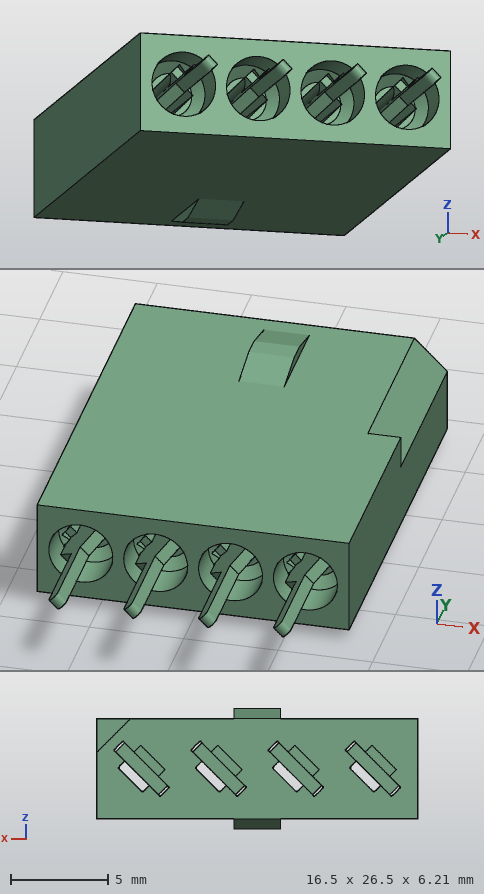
import cadquery as cq
import math


overall_length = 26.45

housing_width = 16.53
housing_length = 21.2
housing_height = 5.15
key_size = 1.75
key_length = 10.05

latch_width = 2.4
latch_height = 0.53
latch_back_gap = 1.03
latch_ramp = 2.15
latch_flat = 1.15
latch_length = 2 * latch_ramp + latch_flat

contact_count = 4
contact_pitch = 3.97
contact_angle = 45

contact_thickness = 0.65
tail_length = overall_length - housing_length
blade_half_width = 1.55
shoulder_start = -0.13

mouth_radius = 1.7
floor_radius = 1.15
mouth_straight_depth = 2.12
mouth_depth = mouth_straight_depth + mouth_radius - floor_radius
slot_width = 2 * mouth_radius
passage_width = 1.77
passage_height = 1.65
keyway_width = 2.7

lance_rise = (passage_height - contact_thickness) / 2
lance_end_angle = 30
lance_radius = lance_rise / (1 - math.cos(math.radians(lance_end_angle)))
lance_start = mouth_depth + 0.26
lance_base_length = 0.8

contact_positions = [(i - (contact_count - 1) / 2) * contact_pitch for i in range(contact_count)]


def place_contact(shape, x):
    """Turn a shape about the Y axis and move it to one contact position."""
    return shape.rotate((0, 0, 0), (0, 1, 0), -contact_angle).translate((x, 0, 0))


def box_along_y(width, height, start, end):
    """Box centred on X and Z that runs from start to end along Y."""
    return cq.Workplane("XY").box(width, end - start, height).translate((0, (start + end) / 2, 0))


def latch_bump():
    """Bump with two ramps and a flat crest, standing on the top face."""
    back = housing_length - latch_back_gap
    front = back - latch_length
    base = housing_height / 2
    crest = base + latch_height
    outline = [
        (front, base),
        (front + latch_ramp, crest),
        (back - latch_ramp, crest),
        (back, base),
    ]
    return cq.Workplane("YZ").polyline(outline).close().extrude(latch_width / 2, both=True)


def key_chamfer():
    """Wedge removed from the top right edge at the back of the housing."""
    side = housing_width / 2
    top = housing_height / 2
    return (
        cq.Workplane("XZ", origin=(0, housing_length, 0))
        .polyline([(side - key_size, top), (side, top), (side, top - key_size)])
        .close()
        .extrude(key_length)
    )


def contact_cavity():
    """Everything removed from the housing for one contact."""
    outline = [
        (0, 0),
        (mouth_radius, 0),
        (mouth_radius, mouth_straight_depth),
        (floor_radius, mouth_depth),
        (0, mouth_depth),
    ]
    mouth = cq.Workplane("XY").polyline(outline).close().revolve(360, (0, 0, 0), (0, 1, 0))
    slot = box_along_y(slot_width, contact_thickness, mouth_straight_depth, housing_length)
    passage = box_along_y(passage_width, passage_height, mouth_depth, housing_length)
    keyway_height = passage_height / 2
    keyway = box_along_y(keyway_width, keyway_height, mouth_straight_depth, mouth_depth)
    keyway = keyway.translate((0, 0, keyway_height / 2))
    return mouth.union(slot).union(passage).union(keyway)


def make_housing():
    """Block with two latch bumps, a key chamfer and a cavity for each contact."""
    housing = box_along_y(housing_width, housing_height, 0, housing_length)
    bump = latch_bump()
    housing = housing.union(bump).union(bump.mirror("XY"))
    housing = housing.cut(key_chamfer())
    for x in contact_positions:
        housing = housing.cut(place_contact(contact_cavity(), x))
    return housing


def make_lance():
    """Wedge whose front face curves from the passage wall down to the blade."""
    base = contact_thickness / 2
    top = base + lance_rise
    root = lance_start + lance_radius * math.sin(math.radians(lance_end_angle))
    half_angle = math.radians(lance_end_angle / 2)
    middle = (
        root - lance_radius * math.sin(half_angle),
        base + lance_radius * (1 - math.cos(half_angle)),
    )
    return (
        cq.Workplane("YZ")
        .moveTo(root, base)
        .threePointArc(middle, (lance_start, top))
        .lineTo(root + lance_base_length, top)
        .lineTo(root + lance_base_length, base)
        .close()
        .extrude(passage_width / 2, both=True)
    )


def make_contact():
    """Tail, 45 degree shoulders and blade in one flat outline, plus the lance."""
    half = contact_thickness / 2
    shoulder_end = shoulder_start + blade_half_width - half
    tip_corner = half - tail_length
    body = (
        cq.Workplane("XY")
        .moveTo(-half, tip_corner)
        .threePointArc((0, -tail_length), (half, tip_corner))
        .lineTo(half, shoulder_start)
        .lineTo(blade_half_width, shoulder_end)
        .lineTo(blade_half_width, housing_length)
        .lineTo(-blade_half_width, housing_length)
        .lineTo(-blade_half_width, shoulder_end)
        .lineTo(-half, shoulder_start)
        .close()
        .extrude(half, both=True)
    )
    return body.union(make_lance())


housing = make_housing()
contacts = [place_contact(make_contact(), x) for x in contact_positions]

result = cq.Compound.makeCompound([housing.val(), *[contact.val() for contact in contacts]])